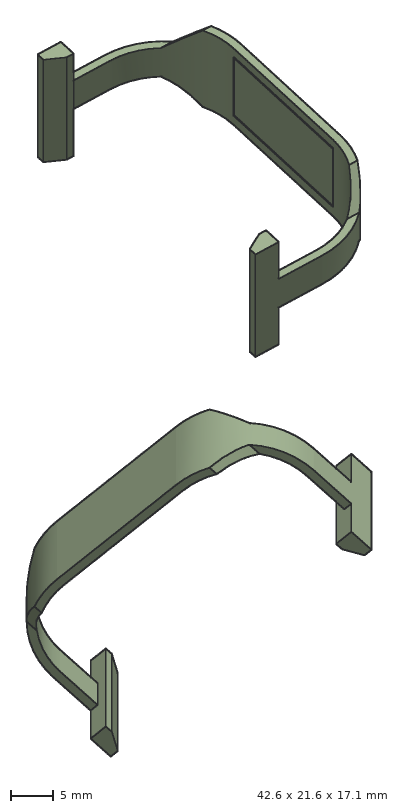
import cadquery as cq

clip_width = 42.61
clip_depth = 21.6
wall = 1.15

corner_radius = 11.6

back_height = 12.8
arm_height = 4.8
catch_height = 17.14

shoulder_start = 7.0
shoulder_end = 3.1

catch_depth = 3.5
catch_width = 2.5
catch_flat = 1.05

recess_height = 9.7
recess_depth = 0.1

half_width = clip_width / 2


def arch_prism(offset):
    """Solid arch bounded by the outer face moved inwards by the offset, open end on Y = 0."""
    side = half_width - offset
    top = clip_depth - offset
    radius = corner_radius - offset
    diagonal = radius * (1 - 0.5 ** 0.5)
    return (
        cq.Workplane("XY")
        .moveTo(-side, 0)
        .lineTo(-side, top - radius)
        .threePointArc((-side + diagonal, top - diagonal), (-side + radius, top))
        .lineTo(side - radius, top)
        .threePointArc((side - diagonal, top - diagonal), (side, top - radius))
        .lineTo(side, 0)
        .close()
        .extrude(back_height / 2, both=True)
    )


def front_silhouette():
    """Prism along Y that gives the band its tapered shoulders and narrow arms."""
    shoulder_x = half_width - shoulder_start
    neck_x = half_width - shoulder_end
    back_z = back_height / 2
    arm_z = arm_height / 2
    return (
        cq.Workplane("XZ")
        .polyline([
            (-shoulder_x, back_z), (shoulder_x, back_z),
            (neck_x, arm_z), (half_width, arm_z),
            (half_width, -arm_z), (neck_x, -arm_z),
            (shoulder_x, -back_z), (-shoulder_x, -back_z),
            (-neck_x, -arm_z), (-half_width, -arm_z),
            (-half_width, arm_z), (-neck_x, arm_z),
        ])
        .close()
        .extrude(-clip_depth)
    )


def catch(side):
    """Upright catch bar at one arm tip; side is -1 for left and +1 for right."""
    outer_x = side * half_width
    tip_x = side * (half_width - wall)
    inner_x = side * (half_width - catch_width)
    return (
        cq.Workplane("XY")
        .polyline([
            (outer_x, 0), (outer_x, catch_depth), (inner_x, catch_depth),
            (inner_x, catch_depth - catch_flat), (tip_x, 0),
        ])
        .close()
        .extrude(catch_height / 2, both=True)
    )


def back_recess():
    """Shallow rectangular recess across the flat inner face of the back."""
    flat_length = clip_width - 2 * corner_radius
    floor_y = clip_depth - wall + recess_depth
    return (
        cq.Workplane("XY")
        .box(flat_length, 2 * recess_depth, recess_height)
        .translate((0, floor_y - recess_depth, 0))
    )


band = arch_prism(0).cut(arch_prism(wall)).intersect(front_silhouette())
result = band.cut(back_recess())
for arm_side in (-1, 1):
    result = result.union(catch(arm_side))